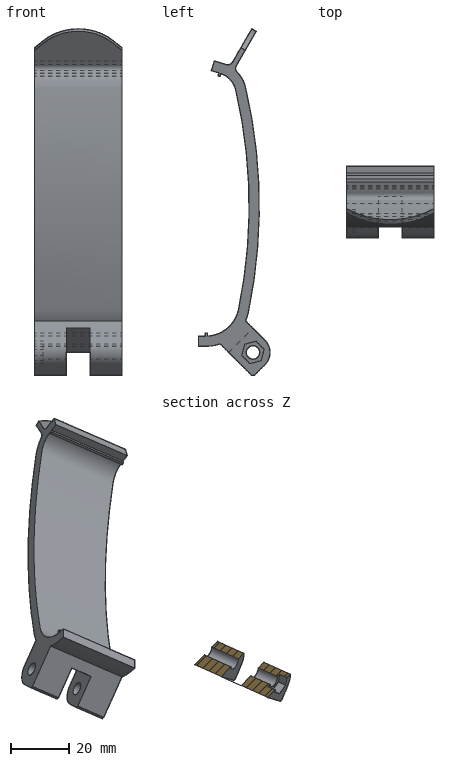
import cadquery as cq
import math

width = 30.0
wall = 3.6
depth = 24.6
height = 118.8

bow_radius = 178.1
bow_apex = (3.7, 58.0)
bow_center = (bow_apex[0] + bow_radius, bow_apex[1])
lower_bend_radius = 11.4
lower_bend_angle = 11.7
upper_bend_radius = 7.7
upper_bend_angle = 13.2
upper_arm_tilt = 17.0
upper_arm_length = 3.2

ridge_width = 0.8
ridge_height = 1.1
lower_ridge_setback = 2.7
upper_ridge_setback = 3.1

tab_tip = (6.3, height)
tab_tilt = 60.0
tab_thickness = 1.8
tab_length = 15.4
tip_radius = 17.6
tip_arc_half_width = 11.9
tab_upper_fillet = 2.0
tab_lower_fillet = 1.8

lug_width = 11.8
lug_radius = lug_width / 2
pivot = (lug_radius, 7.8)
lug_tilt = 45.0
lug_reach = 10.2
slot_width = 8.1
pin_diameter = 4.5
nut_across_flats = 6.9
nut_depth = 3.0


def polar(center, radius, angle):
    """Point at an angle from +Y towards +Z around a center."""
    a = math.radians(angle)
    return (center[0] + radius * math.cos(a), center[1] + radius * math.sin(a))


def side_sketch():
    return cq.Workplane("YZ")


def across(sketch, span=width):
    """Extrude a side outline symmetrically about the middle plane."""
    return sketch.extrude(span / 2, both=True)


bow_inner_radius = bow_radius - wall
lower_join = 180 + lower_bend_angle
upper_join = 180 - upper_bend_angle
upper_end = 90 + upper_arm_tilt
lower_center = polar(bow_center, bow_inner_radius - lower_bend_radius, lower_join)
upper_center = polar(bow_center, bow_inner_radius - upper_bend_radius, upper_join)


def upper_arm_point(offset, along):
    """Point on the upper arm, offset from its concave face, along from the bend."""
    return polar(polar(upper_center, upper_bend_radius + offset, upper_end), along, upper_arm_tilt)


def make_strap():
    def bend(center, radius, angle):
        return polar(center, radius + wall, angle)

    lower_inner_z = lower_center[1] - lower_bend_radius
    lower_middle = (lower_join + 270) / 2
    upper_middle = (upper_join + upper_end) / 2
    outline = (
        side_sketch()
        .moveTo(depth, lower_inner_z)
        .lineTo(lower_center[0], lower_inner_z)
        .threePointArc(polar(lower_center, lower_bend_radius, lower_middle),
                       polar(lower_center, lower_bend_radius, lower_join))
        .threePointArc(polar(bow_center, bow_inner_radius, 180),
                       polar(bow_center, bow_inner_radius, upper_join))
        .threePointArc(polar(upper_center, upper_bend_radius, upper_middle),
                       upper_arm_point(0, 0))
        .lineTo(*upper_arm_point(0, upper_arm_length))
        .lineTo(*upper_arm_point(wall, upper_arm_length))
        .lineTo(*upper_arm_point(wall, 0))
        .threePointArc(bend(upper_center, upper_bend_radius, upper_middle),
                       bend(upper_center, upper_bend_radius, upper_join))
        .threePointArc(bow_apex, polar(bow_center, bow_radius, lower_join))
        .threePointArc(bend(lower_center, lower_bend_radius, lower_middle),
                       (lower_center[0], lower_inner_z - wall))
        .lineTo(depth, lower_inner_z - wall)
        .close()
    )
    return across(outline)


def make_ridge(base, tilt):
    """Ridge standing half out of an arm face at a base point."""
    outline = (
        side_sketch()
        .center(*base)
        .transformed(rotate=(0, 0, tilt))
        .rect(ridge_width, 2 * ridge_height)
    )
    return across(outline)


def make_tab():
    """Flat tab with a round tip and straight shoulders tangent to the tip arc."""
    tilt = math.radians(tab_tilt)
    plane = cq.Plane(
        origin=(0, *tab_tip),
        xDir=(1, 0, 0),
        normal=(0, math.sin(tilt), math.cos(tilt)),
    )
    arc_end_angle = math.asin(tip_arc_half_width / tip_radius)
    arc_drop = tip_radius * (1 - math.cos(arc_end_angle))
    edge_drop = arc_drop + (width / 2 - tip_arc_half_width) * math.tan(arc_end_angle)
    return (
        cq.Workplane(plane)
        .moveTo(-width / 2, tab_length)
        .lineTo(-width / 2, edge_drop)
        .lineTo(-tip_arc_half_width, arc_drop)
        .threePointArc((0, 0), (tip_arc_half_width, arc_drop))
        .lineTo(width / 2, edge_drop)
        .lineTo(width / 2, tab_length)
        .close()
        .extrude(-tab_thickness)
    )


def lug_sketch():
    """Sketch at the pivot whose first axis runs from the pivot into the strap."""
    return side_sketch().center(*pivot).transformed(rotate=(0, 0, lug_tilt))


def make_lug():
    """Lug rounded on its upper corner, its lower corner trimmed flat at Z = 0."""
    outline = (
        lug_sketch()
        .moveTo(lug_reach, lug_radius)
        .lineTo(0, lug_radius)
        .threePointArc(polar((0, 0), lug_radius, 135), (-lug_radius, 0))
        .lineTo(-lug_radius, -lug_radius)
        .lineTo(lug_reach, -lug_radius)
        .close()
    )
    below = cq.Workplane("XY").rect(width, 2 * depth).extrude(-lug_radius)
    return across(outline).cut(below)


def cut_lug(body):
    """Cut the central slot, the pin hole and the hexagonal nut pocket on the -X side."""
    slot = across(lug_sketch().rect(2 * lug_radius, 4 * lug_radius), slot_width)
    pin = across(lug_sketch().circle(pin_diameter / 2))
    nut_across_corners = nut_across_flats / math.cos(math.radians(30))
    nut = (
        lug_sketch()
        .workplane(offset=-width / 2)
        .polygon(6, nut_across_corners)
        .extrude(nut_depth)
    )
    return body.cut(slot).cut(pin).cut(nut)


def fillet_tab_root(body):
    upper_root = (0, 14.1, 105.6)
    lower_root = (0, 12.4, 104.9)
    for point, radius in ((upper_root, tab_upper_fillet), (lower_root, tab_lower_fillet)):
        body = body.edges("|X").edges(cq.selectors.NearestToPointSelector(point)).fillet(radius)
    return body


lower_ridge = make_ridge((depth - lower_ridge_setback, lower_center[1] - lower_bend_radius), 0)
upper_ridge = make_ridge(upper_arm_point(0, upper_arm_length - upper_ridge_setback), upper_arm_tilt)

result = fillet_tab_root(make_strap().union(make_tab()))
result = result.union(lower_ridge).union(upper_ridge).union(make_lug())
result = cut_lug(result)